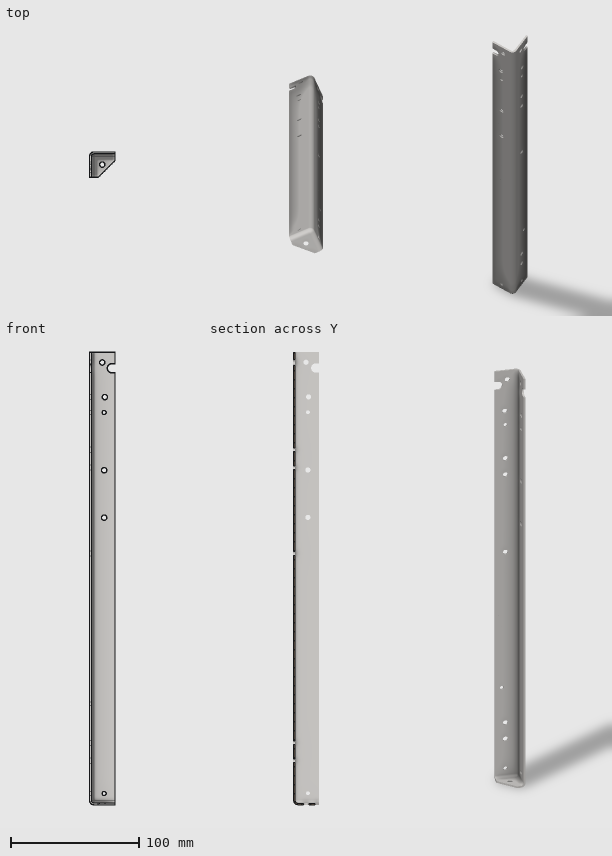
import cadquery as cq

width = 20.0
length = 353.0
thickness = 1.5
inner_radius = 2.2
outer_radius = inner_radius + thickness

tab_edge = 6.8
tab_hole_diameter = 4.0
tab_hole_offset = 10.0

hole_line = 11.5
top_hole_offset = 10.0
upper_hole_offset = 12.0
outlying_hole_offset = 14.5
small_diameter = 3.0
large_diameter = 4.0

pair_pitch = 14.0
upper_pair_height = length - 76.0
lower_pair_height = length - 304.5

shared_holes = [
    (top_hole_offset, length - 8.0, large_diameter),
    (upper_hole_offset, length - 35.0, large_diameter),
    (hole_line, length - 47.0, small_diameter),
    (hole_line, 9.0, small_diameter),
]
back_holes = [
    (hole_line, length - 92.0, large_diameter),
    (hole_line, length - 129.0, large_diameter),
]
side_holes = [
    (hole_line, upper_pair_height, large_diameter),
    (hole_line, upper_pair_height - pair_pitch, large_diameter),
    (hole_line, length - 157.0, large_diameter),
    (outlying_hole_offset, length - 274.0, small_diameter),
    (hole_line, lower_pair_height, large_diameter),
    (hole_line, lower_pair_height - pair_pitch, large_diameter),
]

notch_width = 7.0
notch_depth = 6.0
notch_height = length - 12.5


def corner_block(inset, radius):
    """Block set in from the back, left and bottom faces, with the edges they share rounded.

    The block is shifted as a whole, so it overruns the three open sides by the inset.
    """
    block = cq.Workplane("XY").box(width, width, length, centered=False)
    touching = 1e-6
    corner = cq.Vertex.makeVertex(0, width, 0)
    shared_edges = [
        edge for edge in block.edges().vals() if edge.distance(corner) < touching
    ]
    rounded = block.newObject(shared_edges).fillet(radius)
    return rounded.translate((inset, -inset, inset))


def bottom_tab_cut():
    """Triangle that takes the free corner off the bottom tab."""
    return (
        cq.Workplane("XY")
        .moveTo(tab_edge, 0)
        .lineTo(width, 0)
        .lineTo(width, width - tab_edge)
        .close()
        .extrude(outer_radius)
    )


def bottom_tab_hole():
    return (
        cq.Workplane("XY")
        .center(tab_hole_offset, width - tab_hole_offset)
        .circle(tab_hole_diameter / 2)
        .extrude(outer_radius)
    )


def notch(plane):
    """Notch cutter that opens through the free edge of a flange."""
    radius = notch_width / 2
    start = width - notch_depth
    return (
        plane.moveTo(width, notch_height - radius)
        .lineTo(start + radius, notch_height - radius)
        .threePointArc((start, notch_height), (start + radius, notch_height + radius))
        .lineTo(width, notch_height + radius)
        .close()
        .extrude(outer_radius, both=True)
    )


def round_hole(plane, offset, height, diameter):
    return plane.center(offset, height).circle(diameter / 2).extrude(outer_radius, both=True)


back_face = cq.Workplane(cq.Plane(origin=(0, width, 0), xDir=(1, 0, 0), normal=(0, -1, 0)))
side_face = cq.Workplane(cq.Plane(origin=(0, width, 0), xDir=(0, -1, 0), normal=(-1, 0, 0)))

result = corner_block(0, outer_radius).cut(corner_block(thickness, inner_radius))
result = result.cut(bottom_tab_cut()).cut(bottom_tab_hole())
for face, own_holes in ((back_face, back_holes), (side_face, side_holes)):
    result = result.cut(notch(face))
    for offset, height, diameter in shared_holes + own_holes:
        result = result.cut(round_hole(face, offset, height, diameter))